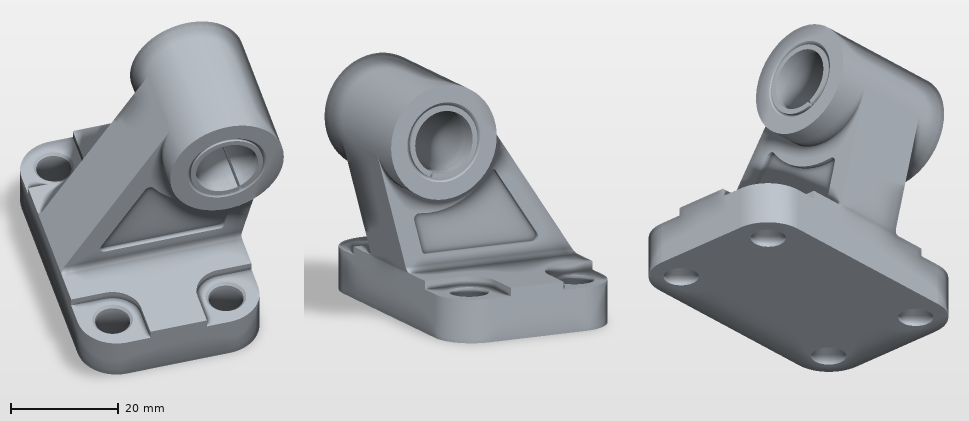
import cadquery as cq
import math

BASE_LENGTH = 54.0
BASE_DEPTH = 35.0
BASE_HEIGHT = 10.0
BASE_CORNER_RADIUS = 7.5

HOLE_SPACING_X = 41.0
HOLE_SPACING_Y = 22.0
HOLE_DIAMETER = 6.6
HOLE_CHAMFER = 0.5
SEAT_RADIUS = 5.5
SEAT_DEPTH = 1.6

TOTAL_HEIGHT = 47.0
BARREL_RADIUS = 11.0
BARREL_LENGTH = 28.0
BARREL_Y = 13.0
BARREL_Z = TOTAL_HEIGHT - BARREL_RADIUS
BORE_CHAMFER = 0.65

RIB_WIDTH = 15.0
RIB_FILLET = 1.0

POCKET_DEPTH = 1.0
POCKET_SIDE_MARGIN = 4.0
POCKET_BASE_MARGIN = 3.0
POCKET_ARC_RADIUS = 15.0
POCKET_CORNER_RADIUS = 1.0

BUSHING_OUTER_DIAMETER = 14.0
BUSHING_INNER_DIAMETER = 12.0
BUSHING_LENGTH = BARREL_LENGTH / 2
SLIT_WIDTH = 0.5
SLIT_ANGLE = 22.5

CLEAR_SPAN = 4 * BASE_LENGTH


def tangent_point(start_y, start_z, radius, side):
    """Point where a line from (start_y, start_z) touches a circle about the barrel axis.

    side is +1 for the touching point on the +Y side and -1 for the -Y side.
    """
    offset_y = start_y - BARREL_Y
    offset_z = start_z - BARREL_Z
    direction = math.atan2(offset_z, offset_y)
    swing = math.acos(radius / math.hypot(offset_y, offset_z))
    angle = direction + side * swing
    return BARREL_Y + radius * math.cos(angle), BARREL_Z + radius * math.sin(angle)


def x_cylinder(diameter, length):
    """Solid cylinder on the barrel axis, centred on X = 0."""
    return (
        cq.Workplane("YZ", origin=(-length / 2, BARREL_Y, BARREL_Z))
        .circle(diameter / 2)
        .extrude(length)
    )


def make_base():
    """Plain base plate with rounded vertical corners."""
    return (
        cq.Workplane("XY")
        .box(BASE_LENGTH, BASE_DEPTH, BASE_HEIGHT, centered=(True, True, False))
        .edges("|Z")
        .fillet(BASE_CORNER_RADIUS)
    )


def rib_corners():
    """Four corners of the rib: both ends of the back line, then both ends of the front line."""
    back_foot = (BASE_DEPTH / 2, BASE_HEIGHT)
    front_foot = (-BASE_DEPTH / 2, BASE_HEIGHT)
    back_top = tangent_point(*back_foot, BARREL_RADIUS, 1)
    front_top = tangent_point(*front_foot, BARREL_RADIUS, -1)
    return back_foot, back_top, front_top, front_foot


def rib_plate(width):
    """Plate with the rib's side outline, centred on X = 0."""
    return cq.Workplane("YZ", origin=(-width / 2, 0, 0)).polyline(rib_corners()).close().extrude(width)


def make_rib():
    """Rib whose front and back faces run tangent into the barrel, with a filleted foot on each side."""
    foot_width = RIB_WIDTH + 2 * RIB_FILLET
    foot_zone = cq.Workplane("XY", origin=(0, 0, BASE_HEIGHT)).box(
        foot_width, CLEAR_SPAN, RIB_FILLET, centered=(True, True, False)
    )
    foot_hollows = (
        cq.Workplane("XZ", origin=(0, CLEAR_SPAN / 2, BASE_HEIGHT + RIB_FILLET))
        .pushPoints([(-foot_width / 2, 0), (foot_width / 2, 0)])
        .circle(RIB_FILLET)
        .extrude(CLEAR_SPAN)
    )
    foot = rib_plate(foot_width).intersect(foot_zone).cut(foot_hollows)
    return rib_plate(RIB_WIDTH).union(foot)


def make_pockets():
    """Pocket volumes for both faces of the rib: its outline moved inwards, clear of the barrel and base."""
    back_foot, back_top, front_top, front_foot = (cq.Vector(*corner) for corner in rib_corners())
    long_outline = [back_foot * 2 - back_top, back_top, front_top, front_foot * 2 - front_top]
    window = (
        cq.Workplane("YZ", origin=(-RIB_WIDTH / 2, 0, 0))
        .polyline(long_outline)
        .close()
        .offset2D(-POCKET_SIDE_MARGIN)
        .extrude(RIB_WIDTH)
    )
    floor_z = BASE_HEIGHT + POCKET_BASE_MARGIN
    floor_block = cq.Workplane("XY", origin=(0, 0, floor_z - TOTAL_HEIGHT)).box(
        RIB_WIDTH, CLEAR_SPAN, TOTAL_HEIGHT, centered=(True, True, False)
    )
    middle_web = cq.Workplane("XY").box(RIB_WIDTH - 2 * POCKET_DEPTH, CLEAR_SPAN, CLEAR_SPAN)
    return (
        window.cut(floor_block)
        .cut(x_cylinder(2 * POCKET_ARC_RADIUS, RIB_WIDTH))
        .edges("|X")
        .fillet(POCKET_CORNER_RADIUS)
        .cut(middle_web)
    )


def make_seats():
    """Corner volumes cut from the top of the base, each rounded about its mounting hole."""
    seat_x = BASE_LENGTH / 2 - HOLE_SPACING_X / 2 + SEAT_RADIUS
    seat_y = BASE_DEPTH / 2 - HOLE_SPACING_Y / 2 + SEAT_RADIUS
    return (
        cq.Workplane("XY", origin=(0, 0, BASE_HEIGHT - SEAT_DEPTH))
        .rect(BASE_LENGTH, BASE_DEPTH, forConstruction=True)
        .vertices()
        .rect(2 * seat_x, 2 * seat_y)
        .extrude(SEAT_DEPTH)
        .edges("|Z")
        .fillet(SEAT_RADIUS)
    )


def make_mounting_holes():
    """Through holes with a chamfered mouth at the level of the seats."""
    seat_z = BASE_HEIGHT - SEAT_DEPTH
    hole_radius = HOLE_DIAMETER / 2
    profile = [
        (0, 0),
        (hole_radius, 0),
        (hole_radius, seat_z - HOLE_CHAMFER),
        (hole_radius + HOLE_CHAMFER, seat_z),
        (0, seat_z),
    ]
    hole = cq.Workplane("XZ").polyline(profile).close().revolve(360, (0, 0), (0, 1))
    return (
        cq.Workplane("XY")
        .rect(HOLE_SPACING_X, HOLE_SPACING_Y, forConstruction=True)
        .vertices()
        .eachpoint(hole.val(), combine="a")
    )


def make_bore():
    """Bore through the barrel, chamfered at both ends."""
    half = BARREL_LENGTH / 2
    radius = BUSHING_OUTER_DIAMETER / 2
    mouth = radius + BORE_CHAMFER
    profile = [
        (-half, 0),
        (-half, mouth),
        (-half + BORE_CHAMFER, radius),
        (half - BORE_CHAMFER, radius),
        (half, mouth),
        (half, 0),
    ]
    return (
        cq.Workplane("XY", origin=(0, BARREL_Y, BARREL_Z))
        .polyline(profile)
        .close()
        .revolve(360, (0, 0), (1, 0))
    )


def make_bracket():
    """Base, rib and barrel in one piece, with every cut applied."""
    return (
        make_base()
        .cut(make_seats())
        .cut(make_mounting_holes())
        .union(make_rib().cut(make_pockets()))
        .union(x_cylinder(2 * BARREL_RADIUS, BARREL_LENGTH))
        .cut(make_bore())
        .solids()
    )


def make_bushing(side):
    """Thin sleeve slit along its length; side is -1 for the -X end of the barrel and +1 for the +X end."""
    slit = (
        cq.Workplane("XY")
        .box(BARREL_LENGTH, SLIT_WIDTH, BUSHING_OUTER_DIAMETER, centered=(True, True, False))
        .rotate((0, 0, 0), (1, 0, 0), 180 + SLIT_ANGLE)
        .translate((0, BARREL_Y, BARREL_Z))
    )
    sleeve = x_cylinder(BUSHING_OUTER_DIAMETER, BUSHING_LENGTH).cut(
        x_cylinder(BUSHING_INNER_DIAMETER, BUSHING_LENGTH)
    )
    return sleeve.translate((side * BUSHING_LENGTH / 2, 0, 0)).cut(slit).solids()


bracket = make_bracket()
bushings = [make_bushing(side) for side in (-1, 1)]

result = cq.Compound.makeCompound([bracket.val(), *[bushing.val() for bushing in bushings]])